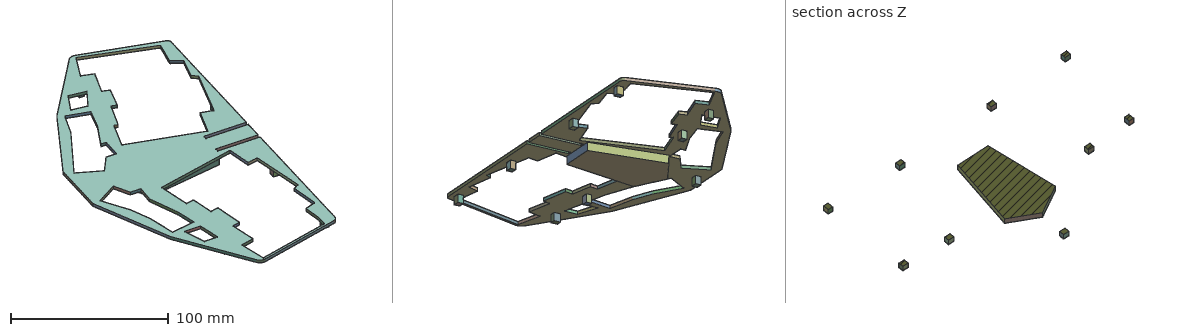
import cadquery as cq

plate_depth = 127.0
total_height = 8.0
plate_thickness = 2.2
standoff_height = total_height - plate_thickness

back_half_width = 109.0
shoulder_half_width = 124.8
shoulder_y = 63.5
knee_half_width = 74.0
knee_y = 25.8
front_half_width = 19.4
back_corner_radius = 3.0
shoulder_radius = 5.5

slot_width = 2.5
slot_length = 30.8
slot_inner_x = 6.5

block_back_y = 95.3
block_back_half_width = 13.0
block_wide_y = 40.5
block_wide_half_width = 21.5
block_tip_y = 28.5

post_long = 4.7
post_short = 4.0
deep_posts = [(-98.0, 122.8), (95.8, 54.0)]
wide_posts = [
    (-38.7, 120.8), (38.7, 120.8),
    (-94.8, 54.3), (102.2, 121.8),
    (-58.0, 52.0), (60.3, 52.0),
    (-0.2, 7.5),
]

left_window = [
    (-107.0, 119.3), (-89.8, 116.4), (-85.5, 124.3), (-69.5, 120.5), (-66.5, 124.5), (-30.0, 115.4),
    (-32.0, 106.5), (-12.7, 101.2), (-26.3, 46.5), (-47.0, 52.0), (-46.2, 54.8), (-65.8, 60.5),
    (-64.8, 64.5), (-81.0, 68.5), (-82.4, 63.0), (-100.7, 68.2), (-103.2, 59.3), (-121.5, 66.2),
]
right_window = [
    (12.2, 103.5), (29.0, 107.2), (27.5, 114.6), (65.0, 123.3), (67.2, 119.3), (86.8, 123.3),
    (89.5, 115.4), (101.2, 117.5), (109.5, 117.9), (122.3, 66.2), (103.7, 61.0), (101.5, 70.5),
    (83.4, 66.0), (82.0, 71.5), (61.8, 67.0), (63.0, 61.3), (47.0, 57.5), (48.1, 51.9),
    (25.5, 46.5),
]

left_key = [(-86.8, 54.8), (-73.0, 48.0), (-74.5, 36.2), (-88.5, 42.2)]
right_key = [(73.5, 48.0), (88.8, 51.9), (88.8, 42.2), (73.5, 36.2)]

left_thumb = [
    (-66.7, 46.5), (-51.0, 42.7), (-33.5, 35.2), (-33.5, 39.0), (-19.8, 39.0),
    (-19.8, 31.3), (-7.7, 23.3), (-15.0, 5.5), (-53.3, 24.5), (-70.7, 29.8),
]
right_thumb = [
    (20.3, 34.2), (32.5, 33.7), (53.5, 42.7), (67.5, 46.5), (70.5, 29.3),
    (51.0, 24.0), (36.7, 17.5), (18.9, 5.5), (9.5, 20.3), (20.3, 26.5),
]


def prism(points, bottom, height):
    """Extrude a closed polygon upward from the given Z."""
    return cq.Workplane("XY").workplane(offset=bottom).polyline(points).close().extrude(height)


def mirrored(right_half):
    """Close a right-hand chain of points with its mirror image in X."""
    return right_half + [(-x, y) for x, y in reversed(right_half)]


def make_plate():
    corners = mirrored([
        (back_half_width, plate_depth),
        (shoulder_half_width, shoulder_y),
        (knee_half_width, knee_y),
        (front_half_width, 0),
    ])
    plate = prism(corners, standoff_height, plate_thickness)
    for radius, corner_x, corner_y in [
        (back_corner_radius, back_half_width, plate_depth),
        (shoulder_radius, shoulder_half_width, shoulder_y),
    ]:
        for side in (-1, 1):
            corner = (side * corner_x, corner_y, standoff_height + plate_thickness / 2)
            plate = plate.edges(cq.selectors.NearestToPointSelector(corner)).fillet(radius)
    return plate


def make_slots():
    center_x = slot_inner_x + slot_width / 2
    center_y = plate_depth - slot_length / 2
    return (
        cq.Workplane("XY").workplane(offset=standoff_height)
        .pushPoints([(-center_x, center_y), (center_x, center_y)])
        .rect(slot_width, slot_length)
        .extrude(plate_thickness)
    )


def make_block():
    shoulders_and_back = mirrored([
        (block_wide_half_width, block_wide_y),
        (block_back_half_width, block_back_y),
    ])
    tip = (0, block_tip_y)
    return prism(shoulders_and_back + [tip], 0, standoff_height)


def make_posts(centers, size_x, size_y):
    return cq.Workplane("XY").pushPoints(centers).rect(size_x, size_y).extrude(standoff_height)


result = make_plate().cut(make_slots())
for opening in (left_window, right_window, left_key, right_key, left_thumb, right_thumb):
    result = result.cut(prism(opening, standoff_height, plate_thickness))

result = (
    result
    .union(make_block())
    .union(make_posts(deep_posts, post_short, post_long))
    .union(make_posts(wide_posts, post_long, post_short))
)